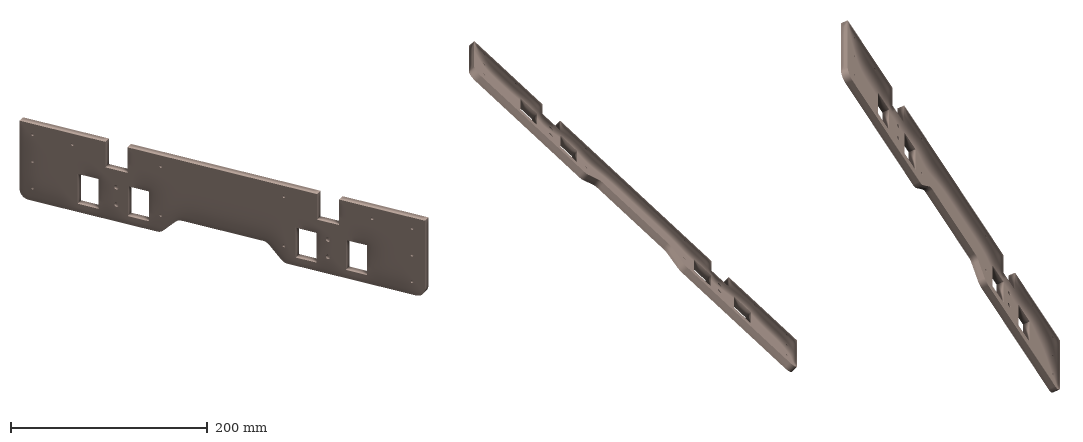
import cadquery as cq

length = 460.0
thickness = 8.0
height = 90.0
lower_corner_radius = 10.0

relief_height = 20.0
relief_top_half_width = 50.0
relief_bottom_half_width = relief_top_half_width + relief_height

notch_x = 120.0
notch_width = 25.0
notch_depth = 30.0
large_hole_diameter = 5.0
large_hole_heights = (20.0, 40.0)

window_width = 24.0
window_height = 35.0
window_bottom = 9.5
window_z = window_bottom + window_height / 2
window_centers_x = (95.0, 152.3)

small_hole_diameter = 3.0
outer_hole_x = 215.5
middle_hole_x = 170.0
inner_hole_x = 70.0
top_row_z = 77.5
column_middle_z = 46.0
column_bottom_z = 14.5
inner_low_z = 20.0
small_holes = [
    (outer_hole_x, top_row_z),
    (outer_hole_x, column_middle_z),
    (outer_hole_x, column_bottom_z),
    (middle_hole_x, top_row_z),
    (inner_hole_x, top_row_z),
    (inner_hole_x, inner_low_z),
]


def mirrored(points):
    """Return the points together with their mirror images across X = 0."""
    return [(side * x, z) for x, z in points for side in (-1, 1)]


def round_cutter(points, diameter):
    return cq.Workplane("XZ").pushPoints(mirrored(points)).circle(diameter / 2).extrude(-thickness)


def rectangular_cutter(points, width, rect_height):
    return cq.Workplane("XZ").pushPoints(mirrored(points)).rect(width, rect_height).extrude(-thickness)


def make_plate():
    """Plate with rounded lower corners and a blended relief in its bottom edge, all of one radius."""
    half_length = length / 2
    outline = [
        (-half_length, height),
        (-half_length, 0),
        (-relief_bottom_half_width, 0),
        (-relief_top_half_width, relief_height),
        (relief_top_half_width, relief_height),
        (relief_bottom_half_width, 0),
        (half_length, 0),
        (half_length, height),
    ]
    plate = cq.Workplane("XZ").polyline(outline).close().extrude(-thickness)
    lower_edges = plate.edges("|Y").edges(cq.selectors.BoxSelector(
        (-length, -thickness, -relief_height),
        (length, 2 * thickness, 2 * relief_height),
    ))
    return lower_edges.fillet(lower_corner_radius)


notches = rectangular_cutter([(notch_x, height - notch_depth / 2)], notch_width, notch_depth)
windows = rectangular_cutter([(x, window_z) for x in window_centers_x], window_width, window_height)
large_holes = round_cutter([(notch_x, z) for z in large_hole_heights], large_hole_diameter)

result = (
    make_plate()
    .cut(notches)
    .cut(windows)
    .cut(large_holes)
    .cut(round_cutter(small_holes, small_hole_diameter))
)